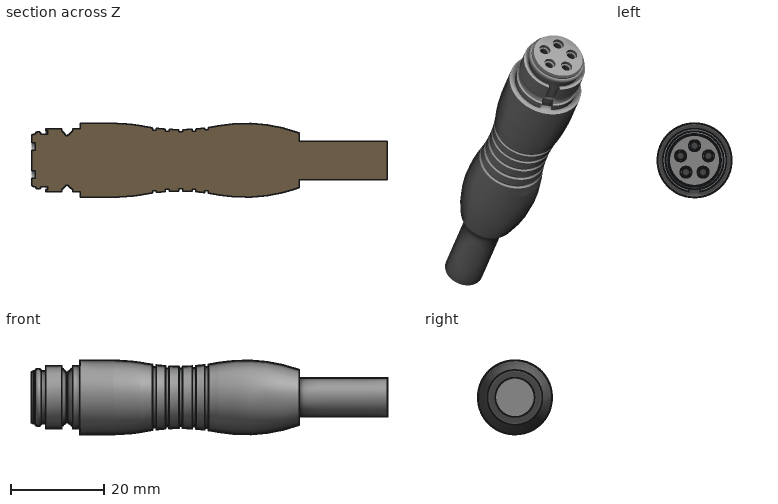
import cadquery as cq
import math

total_length = 76.5
cable_radius = 8.4 / 2

nose_radius = 11.4 / 2
face_chamfer_length = 0.5
face_chamfer_depth = 0.27
ring_start = 0.85
ring_end = 2.15
ring_radius = 6.2

collar_radius = 6.8
collar_start = 3.05
collar_end = 6.6
collar_recess_radius = 6.3
collar_recess_depth = 0.4
groove_rim_radius = 6.35
groove_bottom_start = 7.5
groove_bottom_end = 7.8
groove_bottom_radius = 10.8 / 2
rear_collar_start = 8.9

grip_radius = 16.0 / 2
grip_start = 10.4
cylinder_end = 17.7
shoulder_radius = 7.5
shoulder_front_x = 23.4
shoulder_rear_x = 40.3
waist_x = 32.1
waist_radius = 6.65
barrel_peak_x = 46.3
barrel_end = 57.15
barrel_end_radius = 6.05
grip_end = 57.5
grip_end_radius = 5.9

flex_groove_starts = (26.1, 28.85, 31.75, 34.6, 37.25)
flex_groove_width = 0.7
flex_groove_depth = 0.45
lip_bevel = 0.15

keyway_width = 2.45
keyway_floor_radius = nose_radius

contact_count = 5
contact_circle_radius = 3.1
socket_diameter = 2.45
socket_depth = 0.8
bore_diameter = 1.7
bore_depth = 4.6


def make_plug():
    recess_floor_x = collar_start + collar_recess_depth
    ring_middle = (ring_start + ring_end) / 2
    return (
        cq.Workplane("XY")
        .lineTo(0, nose_radius - face_chamfer_depth)
        .lineTo(face_chamfer_length, nose_radius)
        .lineTo(ring_start, nose_radius)
        .threePointArc((ring_middle, ring_radius), (ring_end, nose_radius))
        .lineTo(recess_floor_x, nose_radius)
        .lineTo(recess_floor_x, collar_recess_radius)
        .lineTo(collar_start, collar_recess_radius)
        .lineTo(collar_start, collar_radius)
        .lineTo(collar_end, collar_radius)
        .lineTo(collar_end, groove_rim_radius)
        .lineTo(groove_bottom_start, groove_bottom_radius)
        .lineTo(groove_bottom_end, groove_bottom_radius)
        .lineTo(rear_collar_start, groove_rim_radius)
        .lineTo(rear_collar_start, collar_radius)
        .lineTo(grip_start, collar_radius)
        .lineTo(grip_start, 0)
        .close()
        .revolve(360, (0, 0, 0), (1, 0, 0))
    )


def make_grip():
    return (
        cq.Workplane("XY")
        .moveTo(grip_start, 0)
        .lineTo(grip_start, grip_radius)
        .lineTo(cylinder_end, grip_radius)
        .tangentArcPoint((shoulder_front_x, shoulder_radius), relative=False)
        .threePointArc((waist_x, waist_radius), (shoulder_rear_x, shoulder_radius))
        .threePointArc((barrel_peak_x, grip_radius), (barrel_end, barrel_end_radius))
        .lineTo(grip_end, grip_end_radius)
        .lineTo(grip_end, 0)
        .close()
        .revolve(360, (0, 0, 0), (1, 0, 0))
    )


def cylinder_along_x(start, length, radius):
    return cq.Workplane("YZ", origin=(start, 0, 0)).circle(radius).extrude(length)


def waist_surface_radius(x):
    """Radius of the waisted stretch, taken as a parabola through its ends."""
    half_length = (shoulder_rear_x - shoulder_front_x) / 2
    middle = (shoulder_rear_x + shoulder_front_x) / 2
    return waist_radius + (shoulder_radius - waist_radius) * ((x - middle) / half_length) ** 2


def make_flex_groove(start):
    """Square-bottomed ring with bevelled lips, used as a cutter."""
    end = start + flex_groove_width
    lip_radius = waist_surface_radius(start + flex_groove_width / 2)
    floor_radius = lip_radius - flex_groove_depth
    return (
        cq.Workplane("XY")
        .moveTo(start, floor_radius)
        .lineTo(start, lip_radius - lip_bevel)
        .lineTo(start - lip_bevel, lip_radius + lip_bevel)
        .lineTo(end + lip_bevel, lip_radius + lip_bevel)
        .lineTo(end, lip_radius - lip_bevel)
        .lineTo(end, floor_radius)
        .close()
        .revolve(360, (0, 0, 0), (1, 0, 0))
    )


def make_keyway():
    """Slot under the nose, from the front of the collar to the grip."""
    length = grip_start - collar_start
    slot = (
        cq.Workplane("XY")
        .box(length, keyway_width, grip_radius, centered=(False, True, False))
        .translate((collar_start, 0, -grip_radius))
    )
    return slot.cut(cylinder_along_x(collar_start, length, keyway_floor_radius))


def make_sockets():
    """Ring of stepped contact holes, the first one at the top."""
    centres = []
    for i in range(contact_count):
        angle = math.pi / 2 + 2 * math.pi * i / contact_count
        across = contact_circle_radius * math.cos(angle)
        up = contact_circle_radius * math.sin(angle)
        centres.append((across, up))
    face = cq.Workplane("YZ").pushPoints(centres)
    sockets = face.circle(socket_diameter / 2).extrude(socket_depth)
    bores = face.circle(bore_diameter / 2).extrude(bore_depth)
    return sockets.union(bores)


cable = cylinder_along_x(grip_end, total_length - grip_end, cable_radius)
grip = make_grip()
for groove_start in flex_groove_starts:
    grip = grip.cut(make_flex_groove(groove_start))
plug = make_plug().cut(make_keyway()).cut(make_sockets())
result = plug.union(grip).union(cable)